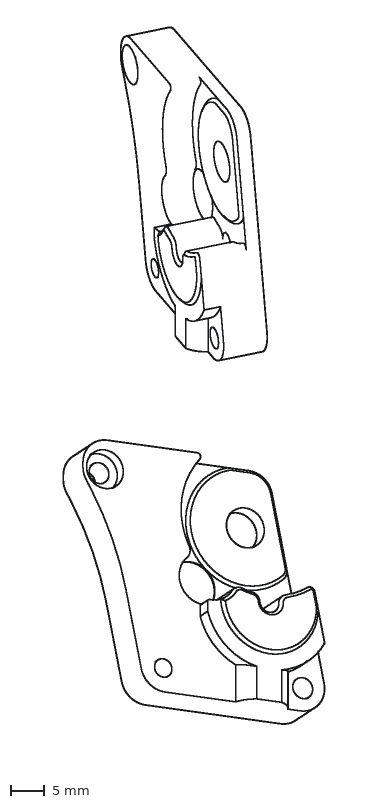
import cadquery as cq
import math

height = 37.9
plate_depth = 7.0
total_depth = 10.15
step = 0.5
disc_chamfer = step - 0.005
boss_depth = total_depth - step
recess_floor = 2.2
idler_floor = 1.95

corner_radius = 3.98
shoulder_radius = 3.6
top_right_radius = 3.95
waist_radius = 50.0
side_lean = math.radians(11.8)
shoulder_lean = math.radians(30)
bottom_left_x = 13.4
bottom_right_x = 39.38 - corner_radius
shoulder_z = 33.15

upper_center = (28.45, 28.75)
upper_disc_radius = 9.5
upper_bore_radius = 3.07
recess_radius = 12.45
idler_center = (19.7, 18.43)
idler_radius = 4.0
lower_center = (29.15, 15.25)
lower_disc_radius = 7.95
lower_bore_radius = 1.55
boss_radius = 10.4
boss_left_x = 19.1
upper_neck_round = 1.58
lower_neck_round = 1.38
groove_round = 1.5
tip_round = 0.8
disc_round = 1.77
recess_mouth_round = 0.6
boss_corner_round = 0.3

rib_half_width = 4.25
rib_flat_half_width = 2.0
rib_top_z = 7.88

screw_radius = 1.6
counterbore_radius = 3.0
counterbore_depth = 2.13
screw_center = (3.6, 33.3)
right_hole_center = (35.8, 3.6)
left_hole_center = (13.07, 3.7)
left_hole_radius = 1.4


def disc(center, radius, start, end):
    """Cylinder along Y between two depths."""
    return cq.Workplane("XZ", origin=(0, -start, 0)).center(*center).circle(radius).extrude(end - start)


def round_edge(body, point, depth, radius):
    """Round the edge along Y nearest to an (x, z) point at a depth."""
    near = cq.selectors.NearestToPointSelector((point[0], -depth, point[1]))
    return body.newObject(body.edges("|Y").edges(near).vals()).fillet(radius)


def circle_crossing(center_a, radius_a, center_b, radius_b, side):
    """Crossing of two circles; side +1 is left of the direction a to b, -1 is right."""
    dx = center_b[0] - center_a[0]
    dz = center_b[1] - center_a[1]
    gap = math.hypot(dx, dz)
    along = (gap**2 + radius_a**2 - radius_b**2) / (2 * gap)
    across = side * math.sqrt(radius_a**2 - along**2)
    return (
        center_a[0] + (along * dx - across * dz) / gap,
        center_a[1] + (along * dz + across * dx) / gap,
    )


def right_side_x(z):
    """X of the leaning right side at a height."""
    foot = bottom_right_x + corner_radius * (1 + math.sin(side_lean)) / math.cos(side_lean)
    return foot - z * math.tan(side_lean)


def make_outline(depth):
    """Plate outline with all its rounds, from the back to a depth."""
    left_foot = bottom_left_x - corner_radius * (1 - math.sin(side_lean)) / math.cos(side_lean)
    shoulder_end_z = shoulder_z - shoulder_radius * math.tan(shoulder_lean / 2)
    waist_z = (left_foot - shoulder_end_z * math.tan(shoulder_lean)) / (
        math.tan(side_lean) - math.tan(shoulder_lean)
    )
    waist_x = left_foot - waist_z * math.tan(side_lean)
    corners = [
        ((left_foot, 0), corner_radius),
        ((right_side_x(0), 0), corner_radius),
        ((right_side_x(height), height), top_right_radius),
        ((0, height), corner_radius),
        ((0, shoulder_end_z), shoulder_radius),
        ((waist_x, waist_z), waist_radius),
    ]
    body = cq.Workplane("XZ").polyline([point for point, _ in corners]).close().extrude(depth)
    for point, radius in corners:
        body = round_edge(body, point, depth / 2, radius)
    return body


def make_recess():
    """Joined clearances around the upper disc, the idler and the lower bore."""
    end = total_depth + step
    middle = (recess_floor + end) / 2
    tool = disc(upper_center, recess_radius, recess_floor, end)
    tool = tool.union(disc(idler_center, idler_radius, recess_floor, end))
    tool = tool.union(disc(lower_center, lower_bore_radius, recess_floor, end))
    necks = [
        (idler_center, idler_radius, -1, upper_neck_round),
        (idler_center, idler_radius, 1, lower_neck_round),
        (lower_center, lower_bore_radius, -1, groove_round),
        (lower_center, lower_bore_radius, 1, groove_round),
    ]
    for center, radius, side, neck_round in necks:
        point = circle_crossing(upper_center, recess_radius, center, radius, side)
        tool = round_edge(tool, point, middle, neck_round)
    return tool


def side_crossing(radius):
    """Lower crossing of the right side with a circle around the upper disc centre."""
    foot_dx = right_side_x(upper_center[1]) - upper_center[0]
    distance = foot_dx * math.cos(side_lean)
    half_chord = math.sqrt(radius**2 - distance**2)
    drop = half_chord * math.cos(side_lean) - distance * math.sin(side_lean)
    z = upper_center[1] - drop
    return (right_side_x(z), z)


def make_boss():
    """Round boss with a flat left flank."""
    boss = disc(lower_center, boss_radius, recess_floor, boss_depth)
    trim = cq.Workplane("XY").box(
        2 * boss_radius, total_depth, 2 * height, centered=(False, False, True)
    )
    return boss.intersect(trim.translate((boss_left_x, -total_depth, 0)))


def make_rib():
    """Upright cylinder, partly sunk in the plate and cut flat by the boss face."""
    rise = boss_depth - plate_depth
    sink = (rib_half_width**2 - rib_flat_half_width**2 - rise**2) / (2 * rise)
    radius = math.hypot(sink, rib_half_width)
    rib = cq.Workplane("XY").center(lower_center[0], sink - plate_depth).circle(radius).extrude(rib_top_z)
    slab = cq.Workplane("XY").box(
        4 * radius, boss_depth - recess_floor, rib_top_z, centered=(True, False, False)
    )
    return rib.intersect(slab.translate((lower_center[0], -boss_depth, 0)))


def make_upper_disc():
    """Chamfered disc on the recess floor, clipped by the plate outline."""
    top = recess_floor + step
    pad = disc(upper_center, upper_disc_radius, recess_floor, top).intersect(outline)
    top_x = upper_center[0] - math.sqrt(upper_disc_radius**2 - (height - upper_center[1])**2)
    for point in [side_crossing(upper_disc_radius), (top_x, height)]:
        pad = round_edge(pad, point, recess_floor + step / 2, disc_round)
    return pad.faces("<Y").chamfer(disc_chamfer)


def make_lower_disc():
    """Chamfered disc on the boss, cut away by the recess."""
    blank = outline.cut(recess)
    middle = (recess_floor + total_depth) / 2
    blank = round_edge(blank, side_crossing(recess_radius), middle, tip_round)
    pad = disc(lower_center, lower_disc_radius, boss_depth, total_depth).intersect(blank)
    return pad.faces("<Y").chamfer(disc_chamfer)


outline = make_outline(total_depth)
recess = make_recess()

body = make_outline(plate_depth).union(make_boss().intersect(outline)).union(make_rib())
body = body.cut(recess)
body = body.cut(disc(idler_center, idler_radius, idler_floor, total_depth))

mouth_x = upper_center[0] - math.sqrt(recess_radius**2 - (height - upper_center[1])**2)
body = round_edge(body, (mouth_x, height), (recess_floor + plate_depth) / 2, recess_mouth_round)
body = round_edge(body, side_crossing(recess_radius), (recess_floor + boss_depth) / 2, tip_round)
flank_z = idler_center[1] - math.sqrt(idler_radius**2 - (idler_center[0] - boss_left_x)**2)
body = round_edge(body, (boss_left_x, flank_z), (plate_depth + boss_depth) / 2, boss_corner_round)

body = body.union(make_upper_disc()).union(make_lower_disc())

holes = [
    (upper_center, upper_bore_radius, total_depth),
    (lower_center, lower_bore_radius, recess_floor),
    (screw_center, screw_radius, total_depth),
    (right_hole_center, screw_radius, total_depth),
    (left_hole_center, left_hole_radius, total_depth),
]
for center, radius, depth in holes:
    body = body.cut(disc(center, radius, 0, depth))
body = body.cut(disc(screw_center, counterbore_radius, plate_depth - counterbore_depth, plate_depth))

result = body